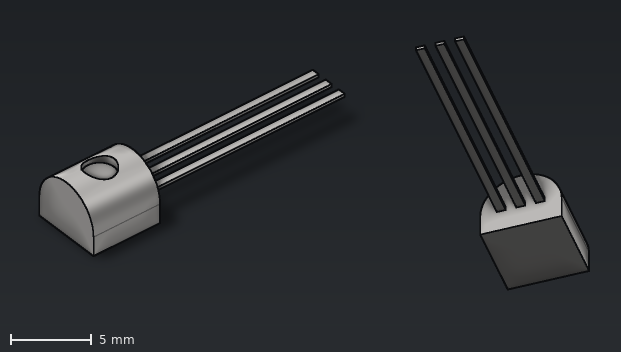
import cadquery as cq

overall_length = 20.95
body_length = 5.32
body_height = 4.2

body_radius = 2.66
axis_height = body_height - body_radius

recess_diameter = 2.3
recess_depth = 0.65

lead_count = 3
lead_pitch = 1.28
lead_width = 0.59
lead_thickness = 0.25
lead_bottom = axis_height + 0.05
lead_length = overall_length - body_length


def make_body():
    """D-shaped body running along Y from its front face at Y = 0."""
    section = (
        cq.Workplane("XZ")
        .moveTo(-body_radius, 0)
        .lineTo(body_radius, 0)
        .lineTo(body_radius, axis_height)
        .threePointArc((0, body_height), (-body_radius, axis_height))
        .close()
    )
    return section.extrude(-body_length)


def make_recess():
    """Flat-bottomed round cutter, centred along the body and open at the top."""
    return (
        cq.Workplane("XY", origin=(0, body_length / 2, body_height - recess_depth))
        .circle(recess_diameter / 2)
        .extrude(recess_depth)
    )


def make_lead(x):
    """Straight rectangular lead leaving the back face of the body."""
    return (
        cq.Workplane("XY", origin=(x, body_length, lead_bottom))
        .box(lead_width, lead_length, lead_thickness, centered=(True, False, False))
    )


result = make_body().cut(make_recess())
for index in range(lead_count):
    lead_x = (index - (lead_count - 1) / 2) * lead_pitch
    result = result.union(make_lead(lead_x))